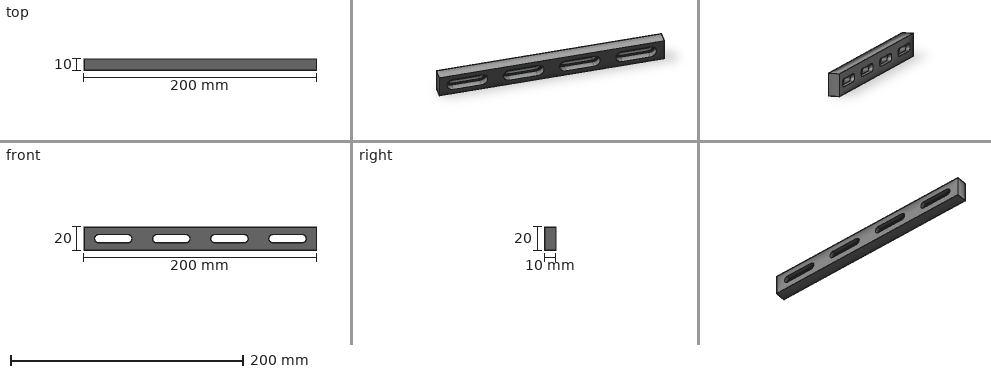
import cadquery as cq

length = 200.0
thickness = 10.0
height = 20.0

slot_count = 4
slot_length = 32.0
slot_width = 7.0
slot_pitch = length / slot_count

recess_margin = 2.0
lip_thickness = 3.8
recess_length = slot_length + 2 * recess_margin
recess_width = slot_width + 2 * recess_margin
recess_depth = thickness - lip_thickness


def slot_row(overall_length, width, depth):
    """Row of round-ended slot cutters reaching in from the back face."""
    return (
        cq.Workplane("XZ", origin=(0, thickness / 2, 0))
        .rarray(slot_pitch, 2, slot_count, 1)
        .slot2D(overall_length, width)
        .extrude(depth)
    )


bar = cq.Workplane("XY").box(length, thickness, height)
through_slots = slot_row(slot_length, slot_width, thickness)
recesses = slot_row(recess_length, recess_width, recess_depth)

result = bar.cut(through_slots).cut(recesses)